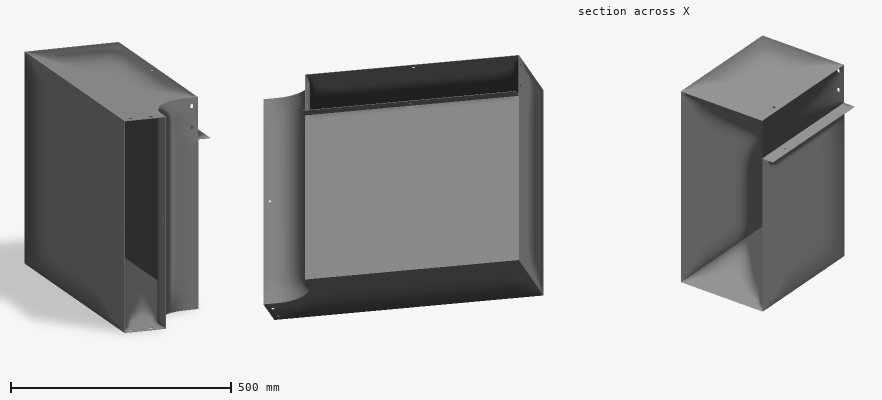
import cadquery as cq
import math


length = 631.0
overall_depth = 259.0
height = 500.0
sheet = 1.0

end_opening_depth = 100.0
rear_opening_height = 100.0
bend_radius = 99.0
end_run = 31.0
flange_width = 30.0

body_depth = overall_depth - flange_width
inner_x = length - end_run - bend_radius
inner_y = end_opening_depth + sheet
flange_z = height - rear_opening_height + sheet

slot_width = 7.0
slot_length = 10.0
slot_angle = 90.0
slot_distances = (20.0, 70.0)
edge_inset = 15.0
clearance_diameter = 7.0
screw_diameter = 5.0
rear_hole_x = inner_x / 2
end_hole_x = length - edge_inset
end_hole_z = height / 2


def plan(offset):
    """Plan shape of the plated body, with the front, side and inner walls moved inward by offset."""
    radius = bend_radius + offset
    diagonal = radius * math.sqrt(0.5)
    centre_x = inner_x + bend_radius
    centre_y = inner_y + bend_radius
    return (
        cq.Workplane("XY", origin=(0, 0, offset))
        .moveTo(offset, offset)
        .lineTo(length, offset)
        .lineTo(length, inner_y - offset)
        .lineTo(centre_x, inner_y - offset)
        .threePointArc(
            (centre_x - diagonal, centre_y - diagonal),
            (inner_x - offset, centre_y),
        )
        .lineTo(inner_x - offset, body_depth)
        .lineTo(offset, body_depth)
        .close()
    )


def duct_body():
    """Front, top, bottom, side and curved inner walls, open at +X and at the rear."""
    outer = plan(0).extrude(height)
    cavity = plan(sheet).extrude(height - 2 * sheet)
    return outer.cut(cavity)


def rear_wall():
    """Plate closing the rear below the opening, with its top edge folded out into a flange."""
    wall = cq.Workplane("XY").box(inner_x, sheet, flange_z, centered=False)
    flange = cq.Workplane("XY").box(inner_x, flange_width, sheet, centered=False)
    folded = wall.union(flange.translate((0, 0, flange_z - sheet)))
    return folded.translate((0, body_depth, 0))


def vertical_hole(x, y, z, diameter):
    """Cutter through one horizontal sheet centred near height z."""
    return cq.Workplane("XY", origin=(x, y, z)).circle(diameter / 2).extrude(2 * sheet, both=True)


def side_slots():
    """Slots through the side wall and the inner wall, beside the rear opening."""
    y = body_depth - edge_inset
    centres = [(y, height - distance) for distance in slot_distances]
    plane = cq.Workplane("YZ").pushPoints(centres)
    return plane.slot2D(slot_length, slot_width, slot_angle).extrude(length)


def end_slots():
    """Slots through the top and bottom plates, beside the +X opening."""
    x = length - edge_inset
    centres = [(x, distance) for distance in slot_distances]
    plane = cq.Workplane("XY").pushPoints(centres)
    return plane.slot2D(slot_length, slot_width, slot_angle).extrude(height)


def cross_hole(x, y, z, diameter):
    """Cutter through one sheet lying across Y, centred near depth y."""
    return cq.Workplane("XZ", origin=(x, y, z)).circle(diameter / 2).extrude(2 * sheet, both=True)


result = (
    duct_body()
    .union(rear_wall())
    .cut(side_slots())
    .cut(end_slots())
    .cut(cross_hole(end_hole_x, 0, end_hole_z, clearance_diameter))
    .cut(cross_hole(end_hole_x, inner_y, end_hole_z, screw_diameter))
    .cut(vertical_hole(rear_hole_x, body_depth - edge_inset, height, clearance_diameter))
    .cut(vertical_hole(rear_hole_x, body_depth + edge_inset, flange_z, screw_diameter))
)